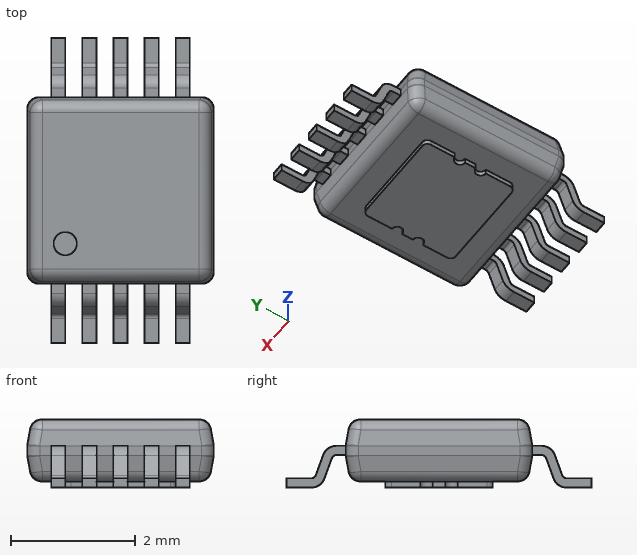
import cadquery as cq
import math

body_side = 3.0
overall_height = 1.1
body_standoff = 0.1
body_rounding = 0.2
draft_angle = 10.0
body_mid_height = (overall_height + body_standoff) / 2

mark_diameter = 0.37
mark_depth = 0.01
mark_x = -0.885
mark_y = -0.855

leads_per_side = 5
lead_pitch = 0.5
lead_width = 0.23
lead_thickness = 0.15
lead_span = 4.9
lead_root = 0.98
shoulder_end = 1.645
slope_angle = math.radians(70)
bend_radius = lead_thickness

pad_length = 1.795
pad_width = 1.73
pad_corner_radius = 0.1
notch_radius = 0.1
notch_spacing = 0.4


def make_half_body():
    """Upper half of the body, from mid-height up: a straight band, then drafted sides.

    The straight bands of both halves together are as tall as the leads are thick.
    """
    band_height = lead_thickness / 2
    drafted_height = (overall_height - body_standoff) / 2 - band_height
    band = cq.Workplane("XY").rect(body_side, body_side).extrude(band_height)
    drafted = (
        cq.Workplane("XY")
        .workplane(offset=band_height)
        .rect(body_side, body_side)
        .extrude(drafted_height, taper=draft_angle)
    )
    half = band.union(drafted)
    return half.edges("(not #Z) or >Z").fillet(body_rounding)


def make_body():
    """Two mirrored halves meeting at mid-height."""
    upper = make_half_body()
    lower = upper.mirror("XY")
    return upper.union(lower).translate((0, 0, body_mid_height))


def cut_pin_one_mark(body):
    """Sink the round mark into the top of the body."""
    mark = (
        cq.Workplane("XY")
        .workplane(offset=overall_height - mark_depth)
        .center(mark_x, mark_y)
        .circle(mark_diameter / 2)
        .extrude(mark_depth)
    )
    return body.cut(mark)


def arc_point(center, radius, angle):
    """Point on a circle, with the angle measured from +Y towards +Z."""
    return (center[0] + radius * math.cos(angle), center[1] + radius * math.sin(angle))


def make_lead():
    """One lead on the +Y side, centred on X = 0, drawn in the YZ plane."""
    inner_radius = bend_radius - lead_thickness / 2
    outer_radius = bend_radius + lead_thickness / 2

    drop = body_mid_height - lead_thickness / 2
    bend_drop = 2 * bend_radius * (1 - math.cos(slope_angle))
    leg_run = (drop - bend_drop) / math.tan(slope_angle)
    foot_start = shoulder_end + 2 * bend_radius * math.sin(slope_angle) + leg_run
    toe = lead_span / 2

    upper_center = (shoulder_end, body_mid_height - bend_radius)
    lower_center = (foot_start, lead_thickness / 2 + bend_radius)
    upper_start = math.pi / 2
    upper_mid = upper_start - slope_angle / 2
    upper_end = upper_start - slope_angle
    lower_start = upper_end + math.pi
    lower_mid = upper_mid + math.pi
    lower_end = upper_start + math.pi

    return (
        cq.Workplane("YZ")
        .workplane(offset=-lead_width / 2)
        .moveTo(lead_root, body_mid_height + lead_thickness / 2)
        .lineTo(*arc_point(upper_center, outer_radius, upper_start))
        .threePointArc(
            arc_point(upper_center, outer_radius, upper_mid),
            arc_point(upper_center, outer_radius, upper_end),
        )
        .lineTo(*arc_point(lower_center, inner_radius, lower_start))
        .threePointArc(
            arc_point(lower_center, inner_radius, lower_mid),
            arc_point(lower_center, inner_radius, lower_end),
        )
        .lineTo(toe, lead_thickness)
        .lineTo(toe, 0)
        .lineTo(*arc_point(lower_center, outer_radius, lower_end))
        .threePointArc(
            arc_point(lower_center, outer_radius, lower_mid),
            arc_point(lower_center, outer_radius, lower_start),
        )
        .lineTo(*arc_point(upper_center, inner_radius, upper_end))
        .threePointArc(
            arc_point(upper_center, inner_radius, upper_mid),
            arc_point(upper_center, inner_radius, upper_start),
        )
        .lineTo(lead_root, body_mid_height - lead_thickness / 2)
        .close()
        .extrude(lead_width)
    )


def make_pad():
    """Rounded pad with a pair of half-round notches in each end."""
    pad = (
        cq.Workplane("XY")
        .rect(pad_length, pad_width)
        .extrude(body_standoff)
        .edges("|Z")
        .fillet(pad_corner_radius)
    )
    notches = (
        cq.Workplane("XY")
        .rect(pad_length, notch_spacing, forConstruction=True)
        .vertices()
        .circle(notch_radius)
        .extrude(body_standoff)
    )
    return pad.cut(notches)


result = cut_pin_one_mark(make_body()).union(make_pad())

lead = make_lead()
opposite_lead = lead.mirror("XZ")
for index in range(leads_per_side):
    lead_x = (index - (leads_per_side - 1) / 2) * lead_pitch
    result = result.union(lead.translate((lead_x, 0, 0)))
    result = result.union(opposite_lead.translate((lead_x, 0, 0)))